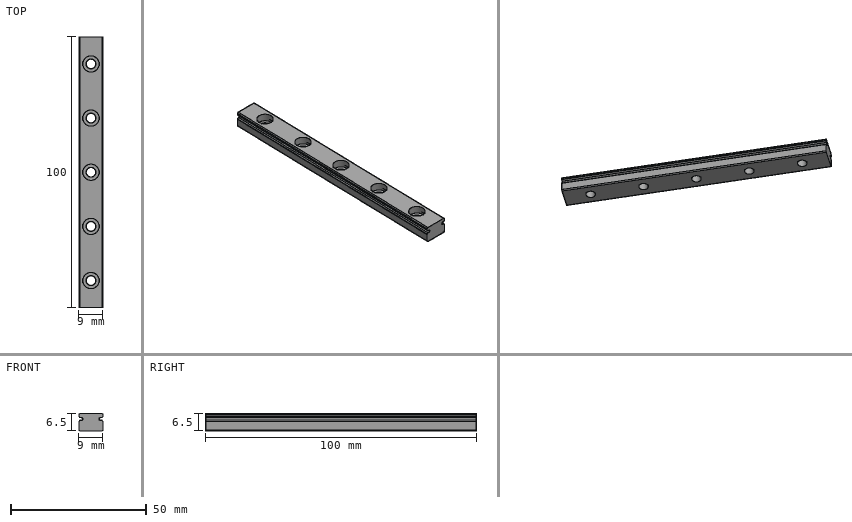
import cadquery as cq
WIDTH = 9.0
LENGTH = 100.0
HEIGHT = 6.5
EDGE_CHAMFER = 0.4

GROOVE_CENTER_Z = 4.47
MOUTH_HALF_HEIGHT = 1.0
LIP_DEPTH = 0.05
LIP_HALF_HEIGHT = 0.85
SLOT_START_DEPTH = 0.5
SLOT_HALF_HEIGHT = 0.45
SLOT_END_DEPTH = 0.8
GROOVE_DEPTH = 1.4

HOLE_COUNT = 5
HOLE_PITCH = LENGTH / HOLE_COUNT
HOLE_DIAMETER = 3.5
COUNTERBORE_DIAMETER = 6.0
COUNTERBORE_DEPTH = 3.0


def groove_wall(direction):
    """Points of one groove wall from mouth to floor: direction -1 is the lower wall, 1 the upper."""
    profile = [
        (0, MOUTH_HALF_HEIGHT),
        (LIP_DEPTH, LIP_HALF_HEIGHT),
        (SLOT_START_DEPTH, SLOT_HALF_HEIGHT),
        (SLOT_END_DEPTH, SLOT_HALF_HEIGHT),
    ]
    return [
        (WIDTH / 2 - depth, GROOVE_CENTER_Z + direction * half_height)
        for depth, half_height in profile
    ]


def rail_body():
    """Extrude the grooved half section, mirrored about the YZ plane, along the length."""
    side = WIDTH / 2
    lower_wall = groove_wall(-1)
    upper_wall = groove_wall(1)
    groove_floor = (side - GROOVE_DEPTH, GROOVE_CENTER_Z)
    below_groove = [(0, 0), (side - EDGE_CHAMFER, 0), (side, EDGE_CHAMFER)]
    above_groove = [(side, HEIGHT - EDGE_CHAMFER), (side - EDGE_CHAMFER, HEIGHT), (0, HEIGHT)]
    return (
        cq.Workplane("XZ")
        .polyline(below_groove + lower_wall)
        .threePointArc(groove_floor, upper_wall[-1])
        .polyline(upper_wall[-2::-1] + above_groove, includeCurrent=True)
        .mirrorY()
        .extrude(LENGTH / 2, both=True)
    )


def drill_mounting_holes(body):
    """Cut the row of counterbored through holes from the top face, centred along the length."""
    return (
        body.faces(">Z")
        .workplane(origin=(0, 0, HEIGHT))
        .rarray(1, HOLE_PITCH, 1, HOLE_COUNT)
        .cboreHole(HOLE_DIAMETER, COUNTERBORE_DIAMETER, COUNTERBORE_DEPTH)
    )


result = drill_mounting_holes(rail_body())